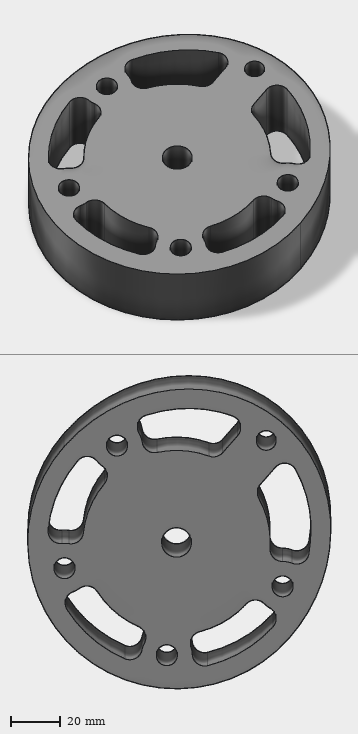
import cadquery as cq
import math

thickness = 30.0
body_radius = 60.5
top_stretch = 5.0

center_hole_diameter = 12.1
top_hole_diameter = 8.1
top_hole_y = 55.7
bolt_hole_diameter = 8.6
bolt_circle_radius = 46.7
bolt_hole_angles = [18, 162, 234, 306]

slot_inner_radius = 38.0
rim_width = 8.1
slot_outer_radius = body_radius - rim_width
bolt_pad_radius = 10.3
top_web_width = 20.2
slot_corner_radius = 5.0
joint_band = 1.3


def rounded_prism(radius, stretch):
    """Prism with a circular lower half and a taller, elliptical upper half."""
    return (
        cq.Workplane("XY")
        .moveTo(-radius, 0)
        .threePointArc((0, -radius), (radius, 0))
        .ellipseArc(radius, radius + stretch, 0, 180, startAtCurrent=True)
        .close()
        .extrude(thickness)
    )


def cylinders(points, diameter):
    return cq.Workplane("XY").pushPoints(points).circle(diameter / 2).extrude(thickness)


def polar_point(radius, angle):
    radians = math.radians(angle)
    return (radius * math.cos(radians), radius * math.sin(radians))


bolt_points = [polar_point(bolt_circle_radius, angle) for angle in bolt_hole_angles]


def window_slots():
    """Ring divided into five windows by the bolt pads and the straight top web."""
    ring = rounded_prism(slot_outer_radius, top_stretch)
    ring = ring.cut(cylinders([(0, 0)], 2 * slot_inner_radius))
    ring = ring.cut(cylinders(bolt_points, 2 * bolt_pad_radius))
    reach = body_radius + top_stretch
    top_web = cq.Workplane("XY").rect(top_web_width, reach).extrude(thickness)
    ring = ring.cut(top_web.translate((0, reach / 2, 0)))

    low = thickness / 4
    high = thickness - low
    upright_edges = cq.selectors.BoxSelector((-reach, -reach, low), (reach, reach, high))
    tangent_joints = cq.selectors.BoxSelector(
        (-reach, -joint_band, low), (reach, joint_band, high)
    )
    corners = upright_edges - tangent_joints
    return ring.edges(corners).fillet(slot_corner_radius)


result = (
    rounded_prism(body_radius, top_stretch)
    .cut(window_slots())
    .cut(cylinders([(0, 0)], center_hole_diameter))
    .cut(cylinders([(0, top_hole_y)], top_hole_diameter))
    .cut(cylinders(bolt_points, bolt_hole_diameter))
)